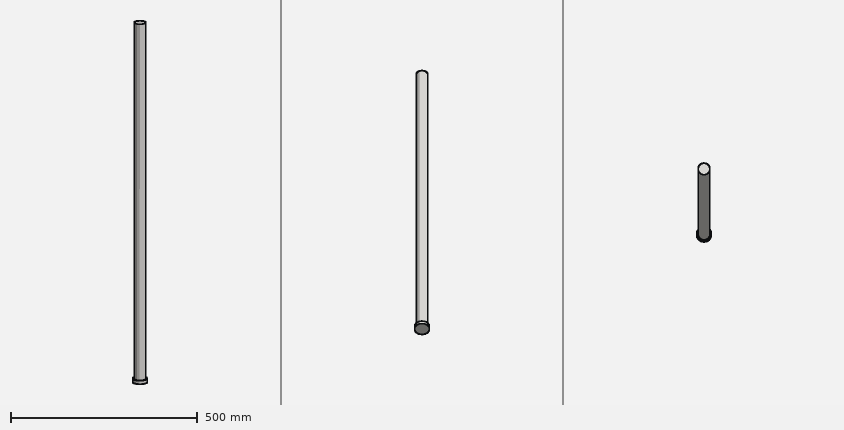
import cadquery as cq

shaft_diameter = 32.0
shaft_length = 1000.0
head_diameter = 40.0
head_height = 10.0

head = cq.Workplane("XY").circle(head_diameter / 2).extrude(head_height)
shaft = (
    cq.Workplane("XY")
    .workplane(offset=head_height)
    .circle(shaft_diameter / 2)
    .extrude(shaft_length)
)

result = head.union(shaft)